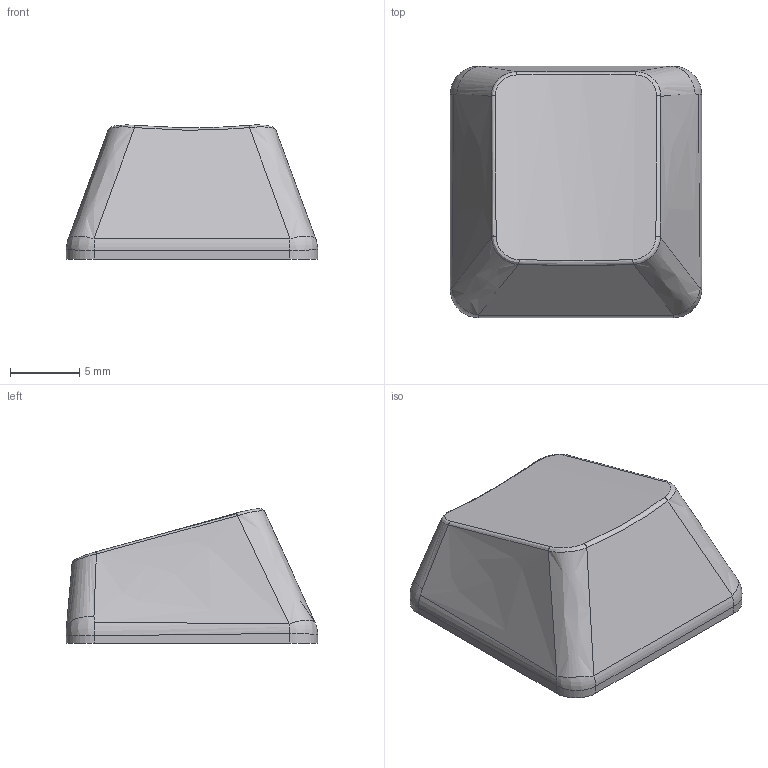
import cadquery as cq
import math

BASE_SIZE = 18.16
SKIRT_HEIGHT = 1.05
WALL_FILLET = 2.03

RIM_TILT = math.radians(15.5)
RIM_HEIGHT_AT_ORIGIN = 8.54
RIM_WIDTH = 12.04
RIM_FRONT_Y = -5.05
RIM_BACK_Y = 8.63

DISH_RADIUS = 42.0
DISH_LENGTH = 2 * BASE_SIZE
DISH_AXIS_HEIGHT = math.sqrt(DISH_RADIUS**2 - (RIM_WIDTH / 2) ** 2)
DISH_EDGE_FILLET = 0.3

RIM_PLANE = cq.Plane(
    origin=(0, 0, RIM_HEIGHT_AT_ORIGIN),
    xDir=(1, 0, 0),
    normal=(0, math.sin(RIM_TILT), math.cos(RIM_TILT)),
)


def rectangle_wire(plane, width, front_y, back_y):
    """Rectangle centred on X, given in the coordinates of the plane."""
    depth = back_y - front_y
    middle_y = (back_y + front_y) / 2
    return cq.Workplane(plane).center(0, middle_y).rect(width, depth).val()


def make_skirt():
    return cq.Workplane("XY").rect(BASE_SIZE, BASE_SIZE).extrude(SKIRT_HEIGHT)


def make_walls():
    """Straight-ruled walls from the skirt up to the tilted rim."""
    half_base = BASE_SIZE / 2
    skirt_plane = cq.Plane.XY(origin=(0, 0, SKIRT_HEIGHT))
    lower = rectangle_wire(skirt_plane, BASE_SIZE, -half_base, half_base)
    front = RIM_FRONT_Y / math.cos(RIM_TILT)
    back = RIM_BACK_Y / math.cos(RIM_TILT)
    upper = rectangle_wire(RIM_PLANE, RIM_WIDTH, front, back)
    return cq.Workplane(cq.Solid.makeLoft([lower, upper], True))


def make_dish():
    """Cylinder lying along the rim plane, meeting it at the two side edges."""
    start = RIM_PLANE.toWorldCoords((0, -DISH_LENGTH / 2, DISH_AXIS_HEIGHT))
    return cq.Workplane(cq.Solid.makeCylinder(DISH_RADIUS, DISH_LENGTH, start, RIM_PLANE.yDir))


def same_edge(edge, others):
    return any(edge.isSame(other) for other in others)


def round_walls(body):
    """Round the upright corners and the bend above the skirt, leaving floor and rim sharp."""
    rim_center = RIM_PLANE.toWorldCoords((0, (RIM_FRONT_Y + RIM_BACK_Y) / 2))
    rim_face = body.faces(cq.selectors.NearestToPointSelector(rim_center.toTuple()))
    sharp_edges = body.faces("<Z").edges().vals() + rim_face.edges().vals()
    wall_edges = [edge for edge in body.edges().vals() if not same_edge(edge, sharp_edges)]
    return body.newObject(wall_edges).fillet(WALL_FILLET)


def round_dish_edge(body):
    """Round the loop where the dish meets the walls."""
    dish_bottom = DISH_RADIUS - DISH_AXIS_HEIGHT
    dish_center = RIM_PLANE.toWorldCoords((0, (RIM_FRONT_Y + RIM_BACK_Y) / 2, -dish_bottom))
    dish_face = body.faces(cq.selectors.NearestToPointSelector(dish_center.toTuple()))
    return dish_face.edges().fillet(DISH_EDGE_FILLET)


sharp_block = make_skirt().union(make_walls())
dished_block = round_walls(sharp_block).cut(make_dish())
result = round_dish_edge(dished_block)